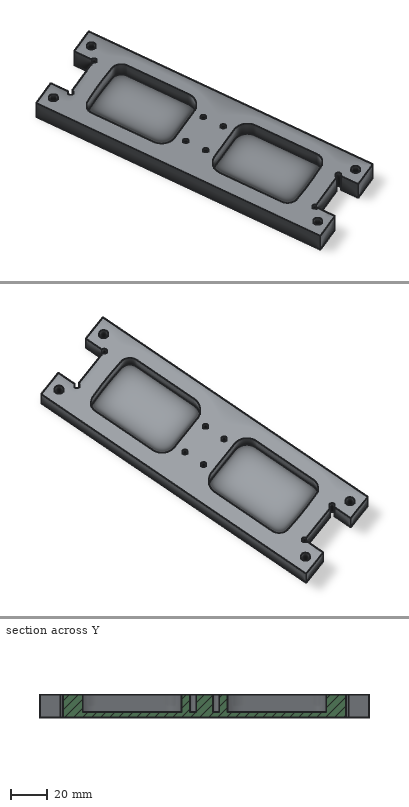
import cadquery as cq

LENGTH = 180.975
WIDTH = 57.15
THICKNESS = 12.7

NOTCH_DEPTH = 12.7
NOTCH_WIDTH = 25.4
RELIEF_DIAMETER = 3.175

MOUNT_DIAMETER = 5.08
MOUNT_END_DISTANCE = 6.35
MOUNT_SPACING_Y = 41.275

WEB_HOLE_DIAMETER = 3.175
WEB_HOLE_SPACING_X = 12.7
WEB_HOLE_SPACING_Y = 19.05
WEB_HOLE_DEPTH = 9.525

WEB_WIDTH = 25.4
POCKET_WIDTH = 38.1
POCKET_DEPTH = 9.525
POCKET_END_X = 67.1
POCKET_END_BOW = 0.9
INNER_CORNER_RADIUS = 8.5
OUTER_CORNER_RADIUS = 6.35

HALF_LENGTH = LENGTH / 2
NOTCH_FLOOR_X = HALF_LENGTH - NOTCH_DEPTH


def make_plate():
    """Rectangular plate resting on Z = 0 and centred in X and Y."""
    return cq.Workplane("XY").box(LENGTH, WIDTH, THICKNESS, centered=(True, True, False))


def cut_notches(body):
    """Open a square notch in both ends and relieve its inner corners."""
    notches = (
        cq.Workplane("XY")
        .rarray(LENGTH, 1, 2, 1)
        .rect(2 * NOTCH_DEPTH, NOTCH_WIDTH)
        .extrude(THICKNESS)
    )
    reliefs = (
        cq.Workplane("XY")
        .rarray(2 * NOTCH_FLOOR_X, NOTCH_WIDTH, 2, 2)
        .circle(RELIEF_DIAMETER / 2)
        .extrude(THICKNESS)
    )
    return body.cut(notches).cut(reliefs)


def drill_mount_holes(body):
    """Drill one through hole in each end lug."""
    spacing_x = LENGTH - 2 * MOUNT_END_DISTANCE
    top = body.faces(">Z").workplane(origin=(0, 0, THICKNESS))
    return top.rarray(spacing_x, MOUNT_SPACING_Y, 2, 2).hole(MOUNT_DIAMETER)


def drill_web_holes(body):
    """Drill four flat-bottomed blind holes in the web between the pockets."""
    top = body.faces(">Z").workplane(origin=(0, 0, THICKNESS))
    holes = top.rarray(WEB_HOLE_SPACING_X, WEB_HOLE_SPACING_Y, 2, 2)
    return holes.hole(WEB_HOLE_DIAMETER, WEB_HOLE_DEPTH)


def make_pocket_cutter():
    """Cutter for the +X pocket, with rounded corners and a bowed end wall."""
    inner_x = WEB_WIDTH / 2
    corner_x = POCKET_END_X - POCKET_END_BOW
    half_width = POCKET_WIDTH / 2
    cutter = (
        cq.Workplane("XY", origin=(0, 0, THICKNESS - POCKET_DEPTH))
        .moveTo(inner_x, -half_width)
        .lineTo(corner_x, -half_width)
        .threePointArc((POCKET_END_X, 0), (corner_x, half_width))
        .lineTo(inner_x, half_width)
        .close()
        .extrude(POCKET_DEPTH)
    )
    cutter = cutter.edges("|Z").edges("<X").fillet(INNER_CORNER_RADIUS)
    return cutter.edges("|Z").edges(">X").fillet(OUTER_CORNER_RADIUS)


def cut_pockets(body):
    """Cut the two pockets, mirrored about the YZ plane."""
    cutter = make_pocket_cutter()
    return body.cut(cutter).cut(cutter.mirror("YZ"))


result = make_plate()
result = cut_notches(result)
result = drill_mount_holes(result)
result = drill_web_holes(result)
result = cut_pockets(result)